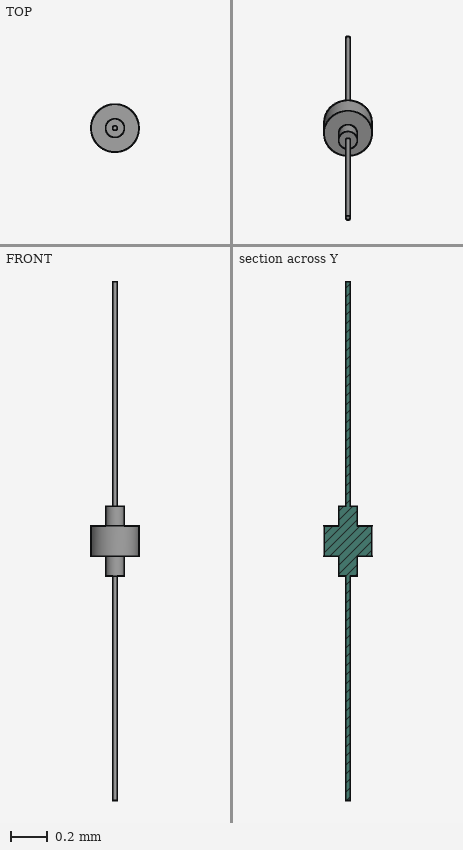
import cadquery as cq

pin_length = 2.81
pin_diameter = 0.025
sleeve_length = 0.38
sleeve_diameter = 0.1
disc_thickness = 0.165
disc_diameter = 0.26


def centred_cylinder(diameter, length):
    """Cylinder on the Z axis, centred on the origin."""
    return cq.Workplane("XY").cylinder(length, diameter / 2)


pin = centred_cylinder(pin_diameter, pin_length)
sleeve = centred_cylinder(sleeve_diameter, sleeve_length)
disc = centred_cylinder(disc_diameter, disc_thickness)

result = disc.union(sleeve).union(pin)